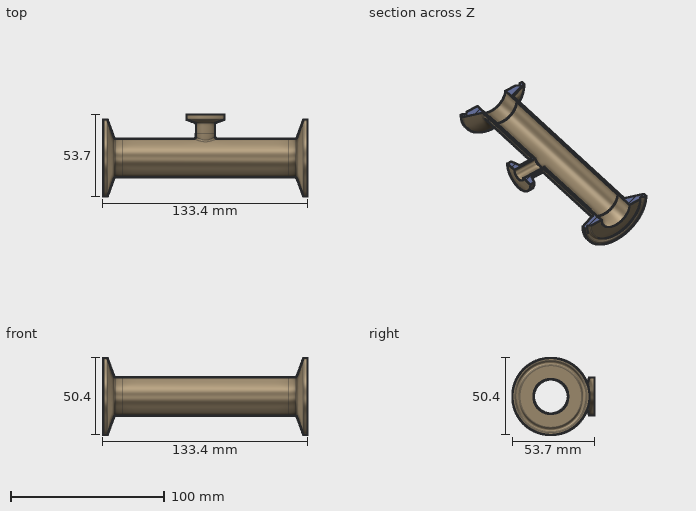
import cadquery as cq
import math

overall_length = 133.4
tube_radius = 25.3 / 2
tube_bore_radius = 22.1 / 2
ferrule_length = 12.5
ferrule_bore_radius = 22.8 / 2
flange_radius = 50.4 / 2
flange_rim_thickness = 2.8
flange_rim_round = 0.4
flange_neck_round = 1.1

groove_centre_radius = 21.9
groove_section_radius = 1.2
groove_lip_round = 0.7

branch_reach = 28.5
branch_radius = 12.7 / 2
branch_bore_radius = 9.3 / 2
branch_ferrule_length = 12.5
branch_flange_radius = 25.0 / 2
branch_rim_thickness = 3.5
branch_rim_round = 0.4
branch_neck_round = 0.4
branch_weld_round = 1.3

flange_slope = math.tan(math.radians(20.0))

half_length = overall_length / 2

left_face = cq.Plane(origin=(-half_length, 0, 0), xDir=(0, 1, 0), normal=(1, 0, 0))
right_face = cq.Plane(origin=(half_length, 0, 0), xDir=(0, 1, 0), normal=(-1, 0, 0))
branch_face = cq.Plane(origin=(0, branch_reach, 0), xDir=(1, 0, 0), normal=(0, -1, 0))


def round_corner(profile, corner, radius):
    """Round the profile corner at the given point."""
    corner_vertex = cq.selectors.NearestToPointSelector((*corner, 0))
    return profile.vertices(corner_vertex).fillet(radius).reset()


def ferrule_profile(rim_radius, rim_thickness, rim_round, neck_radius, neck_round, length):
    """Half section of a solid ferrule: radius along x, distance from the sealing face along y."""
    back_of_rim = (rim_radius, rim_thickness)
    neck_start = (neck_radius, rim_thickness + (rim_radius - neck_radius) * flange_slope)
    outline = [
        (0, 0),
        (rim_radius, 0),
        back_of_rim,
        neck_start,
        (neck_radius, length),
        (0, length),
        (0, 0),
    ]
    profile = cq.Sketch().polygon(outline)
    profile = round_corner(profile, back_of_rim, rim_round)
    return round_corner(profile, neck_start, neck_round)


def cut_gasket_groove(profile):
    """Cut the gasket groove into the sealing face of a ferrule section and round its lips."""
    groove_centre = cq.Location(cq.Vector(groove_centre_radius, 0))
    profile = profile.push([groove_centre]).circle(groove_section_radius, mode="s").reset()
    for side in (-1, 1):
        lip = (groove_centre_radius + side * groove_section_radius, 0)
        profile = round_corner(profile, lip, groove_lip_round)
    return profile


def revolve_onto(plane, profile):
    """Turn a half section about the normal of the given plane."""
    turned = cq.Workplane("XZ").placeSketch(profile).revolve(360, (0, 0), (0, 1))
    return cq.Workplane(turned.val().moved(plane.location))


def rod(plane, radius, start, length):
    """Cylinder along the plane's normal, beginning at a distance from the plane."""
    return cq.Workplane(plane).workplane(offset=start).circle(radius).extrude(length)


tube_length = overall_length - 2 * ferrule_length
branch_tube_length = branch_reach - branch_ferrule_length
tube = rod(left_face, tube_radius, ferrule_length, tube_length)
branch_tube = rod(branch_face, branch_radius, branch_ferrule_length, branch_tube_length)
body = tube.union(branch_tube).edges("%BSPLINE").fillet(branch_weld_round)

run_ferrule = cut_gasket_groove(
    ferrule_profile(
        flange_radius,
        flange_rim_thickness,
        flange_rim_round,
        tube_radius,
        flange_neck_round,
        ferrule_length,
    )
)
branch_ferrule = ferrule_profile(
    branch_flange_radius,
    branch_rim_thickness,
    branch_rim_round,
    branch_radius,
    branch_neck_round,
    branch_ferrule_length,
)
body = body.union(revolve_onto(left_face, run_ferrule))
body = body.union(revolve_onto(right_face, run_ferrule))
body = body.union(revolve_onto(branch_face, branch_ferrule))

body = body.cut(rod(left_face, tube_bore_radius, 0, overall_length))
for end_face in (left_face, right_face):
    body = body.cut(rod(end_face, ferrule_bore_radius, 0, ferrule_length))
body = body.cut(rod(branch_face, branch_bore_radius, 0, branch_reach))

result = body